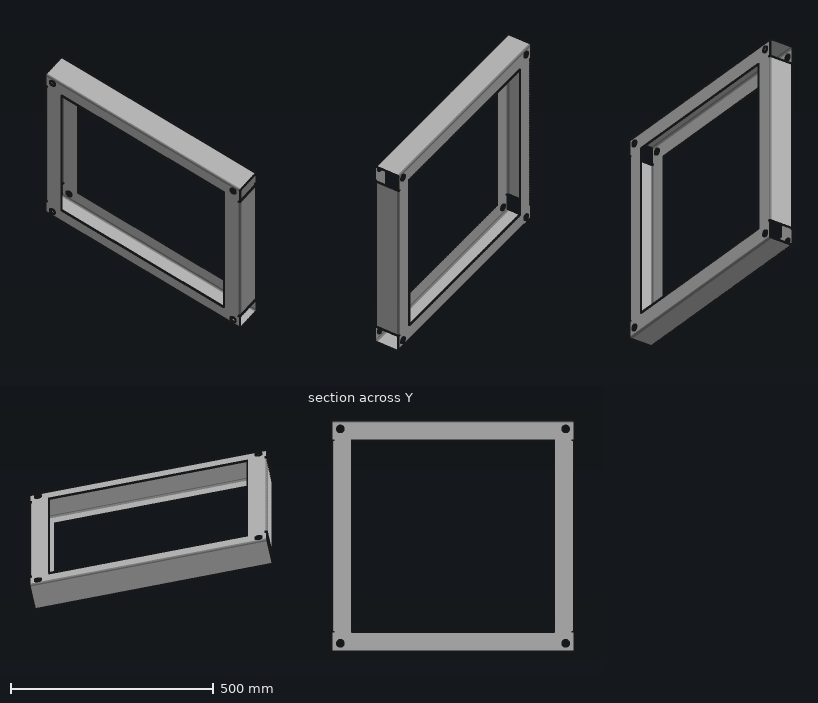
import cadquery as cq

LENGTH = 600.0
DEPTH = 70.0
HEIGHT = 573.0

SHEET = 2.0
BEND_RADIUS = 3.3
INNER_RADIUS = BEND_RADIUS - SHEET
FLANGE = 50.0

SLIT_HEIGHT = 0.3
SLIT_DEPTH = 5.0

HOLE_DIAMETER = 16.0
HOLE_EDGE = 21.5


def rounded_block(length, height, bend_axis, radius, depth):
    """Block centred on the origin with the edges along bend_axis rounded."""
    return cq.Workplane("XY").box(length, depth, height).edges(f"|{bend_axis}").fillet(radius)


def folded_tube(length, height, bend_axis):
    """Rectangular sheet tube running along bend_axis and open at both ends."""
    outer = rounded_block(length, height, bend_axis, BEND_RADIUS, DEPTH)
    cavity_length = length if bend_axis == "X" else length - 2 * SHEET
    cavity_height = height if bend_axis == "Z" else height - 2 * SHEET
    cavity = rounded_block(cavity_length, cavity_height, bend_axis, INNER_RADIUS, DEPTH - 2 * SHEET)
    return outer.cut(cavity)


side_height = HEIGHT - 2 * FLANGE
main_tube = folded_tube(LENGTH, HEIGHT, "X")
side_zone = cq.Workplane("XY").box(LENGTH, DEPTH, side_height)
main_tube = main_tube.cut(side_zone)

side_tube = folded_tube(LENGTH, side_height, "Z")
frame = main_tube.union(side_tube)

opening = cq.Workplane("XY").box(LENGTH - 2 * FLANGE, DEPTH, side_height)
frame = frame.cut(opening)

slit_x = (LENGTH - SLIT_DEPTH) / 2
slit_z = (side_height - SLIT_HEIGHT) / 2
slit_y = (DEPTH - BEND_RADIUS) / 2
for x in (-slit_x, slit_x):
    for y in (-slit_y, slit_y):
        for z in (-slit_z, slit_z):
            slit = cq.Workplane("XY").box(SLIT_DEPTH, BEND_RADIUS, SLIT_HEIGHT)
            frame = frame.cut(slit.translate((x, y, z)))

holes = (
    cq.Workplane("XZ")
    .rect(LENGTH - 2 * HOLE_EDGE, HEIGHT - 2 * HOLE_EDGE, forConstruction=True)
    .vertices()
    .circle(HOLE_DIAMETER / 2)
    .extrude(DEPTH / 2, both=True)
)
result = frame.cut(holes)